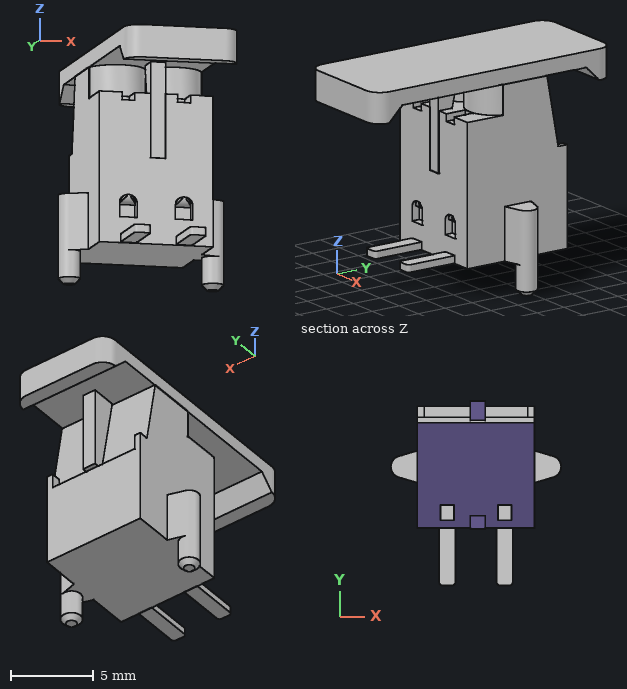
import cadquery as cq
import math


cap_width = 7.05
cap_length = 17.6
cap_top = 12.25
cap_corner_radius = 1.0
plate_thickness = 1.02
skirt_height = 2.0
skirt_thickness = cap_corner_radius
plate_bottom = cap_top - plate_thickness
skirt_bottom = cap_top - skirt_height

leg_width = 0.92
leg_center_x = 0.1
front_leg_outer_y = -2.08
front_leg_inner_top_y = -0.63
front_leg_inner_bottom_y = -1.9
front_leg_bottom = 5.32
back_leg_outer_y = 5.7
back_leg_inner_top_y = 3.98
back_leg_inner_bottom_y = 5.03
back_leg_bottom = 5.56

housing_width = 7.13
housing_front_y = -2.02
housing_back_y = 5.39
front_shelf = 9.3
back_shelf = 6.6
tower_back_top_y = 3.89
tower_back_bottom_y = 4.72
tower_front_y = 0.63
lobe_depth = 1.25
back_recess_width = 6.27

terminal_pitch = 3.48
column_xs = (-terminal_pitch / 2, terminal_pitch / 2)

pocket_width = 0.81
notch_depth = 0.48
pocket_depth = 2 * notch_depth
front_wall = 0.5

window_radius = 0.55
window_bottom = 1.6
window_arch_center = 2.45
window_top = window_arch_center + window_radius

post_diameter = 1.35
post_radius = post_diameter / 2
overall_width = 10.35
post_x = overall_width / 2 - post_radius
post_y = 1.7
post_bottom = -2.0
post_chamfer = 0.33
lug_top = 3.48
lug_taper = math.radians(16.5)

terminal_width = 1.0
terminal_thickness = 0.5
terminal_bottom = 0.04
terminal_tip_y = -5.5
terminal_corner_radius = 0.23


def side_prism(points, width, center_x=0.0):
    """Extrude a (Y, Z) outline along X, centred on center_x."""
    return cq.Workplane("YZ", origin=(center_x, 0, 0)).polyline(points).close().extrude(width / 2, both=True)


def block(x_range, y_range, z_range):
    """Box between the given pairs of limits."""
    size = [high - low for low, high in (x_range, y_range, z_range)]
    corner = (x_range[0], y_range[0], z_range[0])
    return cq.Workplane("XY").box(*size, centered=False).translate(corner)


def front_leg():
    return side_prism(
        [
            (front_leg_outer_y, plate_bottom),
            (front_leg_inner_top_y, plate_bottom),
            (front_leg_inner_bottom_y, front_leg_bottom),
            (front_leg_outer_y, front_leg_bottom),
        ],
        leg_width,
        leg_center_x,
    )


def back_leg():
    return side_prism(
        [
            (back_leg_outer_y, plate_bottom),
            (back_leg_inner_top_y, plate_bottom),
            (back_leg_inner_bottom_y, back_leg_bottom),
            (back_leg_outer_y, back_leg_bottom),
        ],
        leg_width,
        leg_center_x,
    )


def make_cap():
    """Plate with a chamfered skirt at each end and two legs below."""
    end_y = cap_length / 2
    skirt_y = end_y - skirt_thickness
    chamfer_y = skirt_y - (plate_bottom - skirt_bottom)
    plate = side_prism(
        [
            (-end_y, cap_top),
            (end_y, cap_top),
            (end_y, skirt_bottom),
            (skirt_y, skirt_bottom),
            (chamfer_y, plate_bottom),
            (-chamfer_y, plate_bottom),
            (-skirt_y, skirt_bottom),
            (-end_y, skirt_bottom),
        ],
        cap_width,
    )
    outline = (
        cq.Workplane("XY", origin=(0, 0, skirt_bottom))
        .rect(cap_width, cap_length)
        .extrude(skirt_height)
        .edges("|Z")
        .fillet(cap_corner_radius)
    )
    return plate.intersect(outline).union(front_leg()).union(back_leg())


def make_lobe(x):
    """Round lobe on the front of the tower, as wide as the terminal spacing."""
    return (
        cq.Workplane("XY", origin=(x, tower_front_y, front_shelf))
        .moveTo(-terminal_pitch / 2, 0)
        .threePointArc((0, -lobe_depth), (terminal_pitch / 2, 0))
        .close()
        .extrude(plate_bottom - front_shelf)
    )


def make_housing_block():
    housing = side_prism(
        [
            (housing_front_y, 0),
            (housing_back_y, 0),
            (housing_back_y, back_shelf),
            (tower_back_bottom_y, back_shelf),
            (tower_back_top_y, plate_bottom),
            (tower_front_y, plate_bottom),
            (tower_front_y, front_shelf),
            (housing_front_y, front_shelf),
        ],
        housing_width,
    )
    for x in column_xs:
        housing = housing.union(make_lobe(x))
    return housing


def make_back_recess():
    """Wide recess in the back shelf that gives room for the back leg."""
    half_width = back_recess_width / 2
    return block(
        (-half_width, half_width),
        (tower_back_bottom_y, housing_back_y),
        (back_leg_bottom, back_shelf),
    )


def make_pocket(x):
    """Pocket from the front wall back to the lobe, with the notch in front of it."""
    sides = (x - pocket_width / 2, x + pocket_width / 2)
    wall_inner_y = housing_front_y + front_wall
    pocket_back_y = tower_front_y - lobe_depth
    notch = block(sides, (housing_front_y, wall_inner_y), (front_shelf - notch_depth, front_shelf))
    pocket = block(sides, (wall_inner_y, pocket_back_y), (front_shelf - pocket_depth, front_shelf))
    return notch.union(pocket)


def make_window(x):
    """Arched recess whose roof is rounded over toward the front and to both sides."""
    back_y = housing_front_y + window_radius
    recess = (
        cq.Workplane("XZ", origin=(x, back_y, 0))
        .moveTo(-window_radius, window_bottom)
        .lineTo(window_radius, window_bottom)
        .lineTo(window_radius, window_arch_center)
        .threePointArc((0, window_top), (-window_radius, window_arch_center))
        .close()
        .extrude(window_radius)
    )
    upright_round = (
        cq.Workplane("XY", origin=(x, back_y, window_arch_center))
        .circle(window_radius)
        .extrude(2 * window_radius)
    )
    level_round = (
        cq.Workplane("YZ", origin=(x, back_y, window_top))
        .circle(window_radius)
        .extrude(window_radius, both=True)
    )
    return recess.cut(upright_round.intersect(level_round))


def make_post(side):
    """Round post and the lug that tapers to meet it smoothly; side is -1 for -X and 1 for +X."""
    center_x = side * post_x
    wall_x = side * housing_width / 2
    reach = post_x - housing_width / 2
    tangent_x = center_x + side * post_radius * math.sin(lug_taper)
    tangent_y = post_radius * math.cos(lug_taper)
    lug_half_width = (post_radius + reach * math.sin(lug_taper)) / math.cos(lug_taper)
    post = (
        cq.Workplane("XY", origin=(center_x, post_y, post_bottom))
        .circle(post_radius)
        .extrude(lug_top - post_bottom)
        .faces("<Z")
        .chamfer(post_chamfer)
    )
    lug = (
        cq.Workplane("XY", origin=(0, post_y, 0))
        .moveTo(wall_x, -lug_half_width)
        .lineTo(tangent_x, -tangent_y)
        .lineTo(tangent_x, tangent_y)
        .lineTo(wall_x, lug_half_width)
        .close()
        .extrude(lug_top)
    )
    return post.union(lug)


def make_housing():
    housing = make_housing_block().cut(make_back_recess())
    for side in (-1, 1):
        housing = housing.union(make_post(side))
    for x in column_xs:
        housing = housing.cut(make_pocket(x)).cut(make_window(x))
    return housing.cut(front_leg())


def make_terminal(x):
    """Flat terminal standing out from the front face, with its two tip corners rounded."""
    sides = (x - terminal_width / 2, x + terminal_width / 2)
    heights = (terminal_bottom, terminal_bottom + terminal_thickness)
    terminal = block(sides, (terminal_tip_y, housing_front_y), heights)
    return terminal.faces("<Y").edges("|Z").fillet(terminal_corner_radius)


cap = make_cap()
housing = make_housing()
terminals = [make_terminal(x) for x in column_xs]

result = cq.Compound.makeCompound([cap.val(), housing.val(), *[terminal.val() for terminal in terminals]])